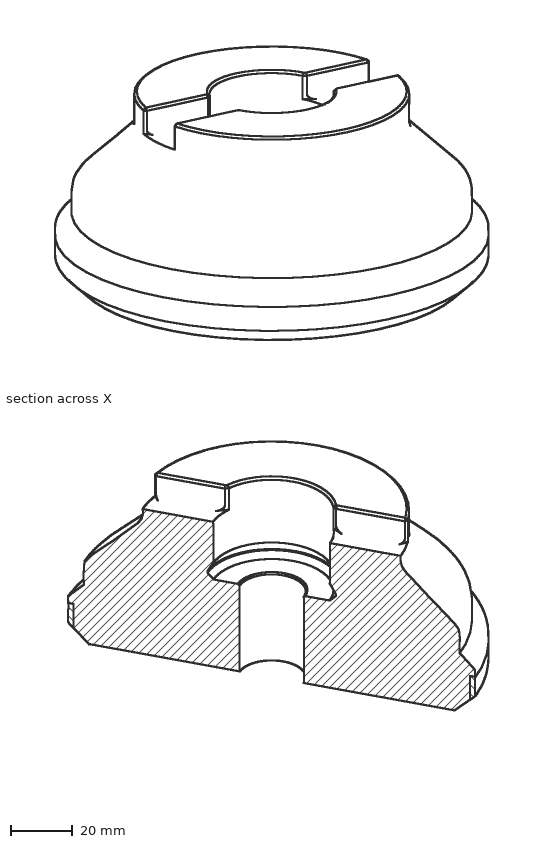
import cadquery as cq
import math

total_height = 63.0
slot_floor_height = 54.2
shoulder_top_height = 50.1
shoulder_bottom_height = 30.9
collar_bottom_height = 21.9
flange_bottom_height = 6.7

neck_radius = 89.0 / 2
collar_radius = 129.6 / 2
flange_radius = 70.2
base_radius = 63.0
flange_top_height = collar_bottom_height - (flange_radius - collar_radius)

shoulder_fillet = 5.0
flange_fillet = 1.1
edge_chamfer = 0.8

bore_mouth_radius = 40.3 / 2
bore_radius = 40.0 / 2
bore_taper_length = 1.3
groove_top_height = 38.9
groove_depth = 2.1
groove_land = 0.4
groove_upper_angle = 30.0
hole_radius = 22.0 / 2
hole_chamfer = 0.5

slot_width = 16.7
slot_floor_fillet = 1.5

ring_top_height = 13.9
ring_bottom_height = 5.0

select_margin = 0.1

groove_radius = bore_radius + groove_depth
groove_land_top = groove_top_height - groove_depth / math.tan(math.radians(groove_upper_angle))
groove_land_bottom = groove_land_top - groove_land
bore_floor_height = groove_land_bottom - groove_depth


def edges_within(body, radius, low, high):
    """Edges whose bounding boxes lie inside an upright square prism around the axis."""
    box = cq.selectors.BoxSelector(
        (-radius - select_margin, -radius - select_margin, low - select_margin),
        (radius + select_margin, radius + select_margin, high + select_margin),
        boundingbox=True,
    )
    return body.edges(box)


def round_corner(body, radius, height, fillet_radius):
    """Fillet the circular edge at the given radius and height."""
    return edges_within(body, radius, height, height).fillet(fillet_radius)


def make_outer_form():
    """Turned outside shape with rounded shoulders and a rounded flange."""
    body = (
        cq.Workplane("XZ")
        .polyline([
            (0, 0),
            (base_radius, 0),
            (flange_radius, flange_bottom_height),
            (flange_radius, flange_top_height),
            (collar_radius, collar_bottom_height),
            (collar_radius, shoulder_bottom_height),
            (neck_radius, shoulder_top_height),
            (neck_radius, total_height),
            (0, total_height),
        ])
        .close()
        .revolve(360, (0, 0, 0), (0, 1, 0))
    )
    body = round_corner(body, neck_radius, shoulder_top_height, shoulder_fillet)
    body = round_corner(body, collar_radius, shoulder_bottom_height, shoulder_fillet)
    body = round_corner(body, flange_radius, flange_top_height, flange_fillet)
    return round_corner(body, flange_radius, flange_bottom_height, flange_fillet)


def make_bore():
    """Stepped bore with an undercut groove above its floor and a through hole."""
    return (
        cq.Workplane("XZ")
        .polyline([
            (0, 0),
            (hole_radius, 0),
            (hole_radius, bore_floor_height - hole_chamfer),
            (hole_radius + hole_chamfer, bore_floor_height),
            (bore_radius, bore_floor_height),
            (groove_radius, groove_land_bottom),
            (groove_radius, groove_land_top),
            (bore_radius, groove_top_height),
            (bore_radius, slot_floor_height - bore_taper_length),
            (bore_mouth_radius, slot_floor_height),
            (bore_mouth_radius, total_height),
            (0, total_height),
        ])
        .close()
        .revolve(360, (0, 0, 0), (0, 1, 0))
    )


def make_slot():
    """Square-cornered cross slot along Y."""
    slot_depth = total_height - slot_floor_height
    return cq.Workplane("XY", origin=(0, 0, slot_floor_height)).box(
        slot_width, 2 * flange_radius, slot_depth, centered=(True, True, False)
    )


def make_ring_band():
    """Plain band, oversize outside, that marks off the ring from the hub."""
    bevel_run = (flange_radius - base_radius) / flange_bottom_height
    ring_inner_radius = base_radius + ring_bottom_height * bevel_run
    return (
        cq.Workplane("XY", origin=(0, 0, ring_bottom_height))
        .circle(2 * flange_radius)
        .circle(ring_inner_radius)
        .extrude(ring_top_height - ring_bottom_height)
    )


def make_ring(outer_form):
    """Ring that fills the corner between the flange's side and its lower bevel."""
    return outer_form.intersect(make_ring_band())


def make_hub(outer_form):
    """Hub with its ring seat, bore and cross slot."""
    hub = outer_form.cut(make_ring_band()).cut(make_bore()).cut(make_slot())

    above_slot_floor = cq.selectors.BoxSelector(
        (-neck_radius, -neck_radius, slot_floor_height + select_margin),
        (neck_radius, neck_radius, total_height + select_margin),
    )
    hub = hub.edges(above_slot_floor).chamfer(edge_chamfer)

    floor_edges = edges_within(hub, neck_radius, slot_floor_height, slot_floor_height).edges("|Y")
    return floor_edges.fillet(slot_floor_fillet)


outer_form = make_outer_form()
hub = make_hub(outer_form)
ring = make_ring(outer_form)

result = cq.Compound.makeCompound([hub.val(), ring.val()])